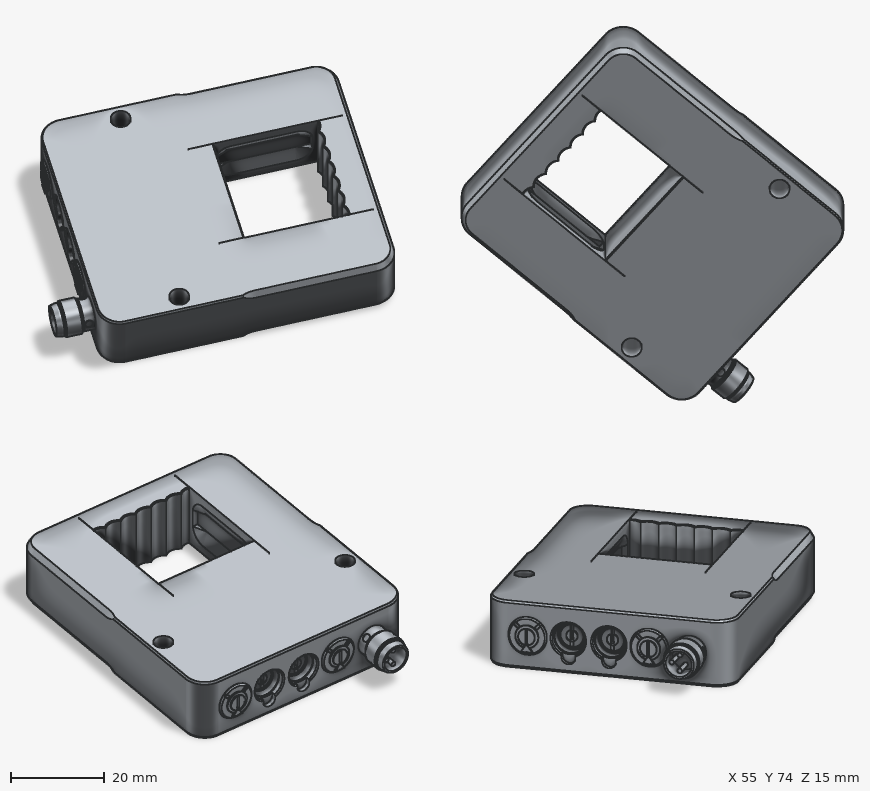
import cadquery as cq
import math

embed = 0.75

width = 55.0
height = 15.0
overall_length = 74.0
connector_length = 8.5
length = overall_length - connector_length
half_width = width / 2
half_height = height / 2
corner_radius = 4.95

slim_bevel_inset = 0.3
slim_bevel_drop = 0.5
wide_bevel_inset = 0.9
wide_bevel_drop = 1.5
wide_bevel_end_y = length - 31.7
bevel_runout_radius = 7.4

window_half_width = 12.65
window_front_y = length - 30.35
scallop_tip_y = length - 8.0
scallop_count = 7
scallop_pitch = 4.0
scallop_depth = 0.8
rim_bevel = 0.2

joint_front_y = length - 35.9
joint_rear_y = length - 1.9
joint_width = 0.1
joint_depth = 0.9

recess_front_y = length - 29.9
recess_rear_y = length - 8.4
recess_height = 10.5
recess_depth = 1.3
recess_slope = 3.0
recess_corner_radius = 3.55

mount_hole_diameter = 4.3
mount_hole_x = 24.05
mount_hole_y = length - 47.7

control_pitch = 9.0
switch_positions = (-2, 1)
button_positions = (-1, 0)
connector_x = 2 * control_pitch

switch_diameter = 8.6
switch_height = 0.45
switch_bevel = 0.4
switch_hub_diameter = 5.1
switch_hub_height = 0.75
switch_knob_diameter = 3.7
switch_knob_height = 1.0
switch_slot_width = 0.5
switch_slot_length = 3.3
switch_slot_depth = 0.75
pointer_height = 0.9
pointer_tip_z = -1.55
pointer_base_z = -3.4
pointer_half_width = 1.25
tick_width = 0.7
tick_depth = 0.2
tick_angles = (45, 135)

button_well_diameter = 7.3
button_well_depth = 3.7
button_step_diameter = 6.9
button_step_depth = 1.5
button_mouth_diameter = 8.0
button_mouth_depth = 0.3
button_cap_diameter = 6.4
button_cap_top_diameter = 5.8
button_cap_height = 1.1
button_cap_bevel_height = 0.5
button_dish_diameter = 5.1
button_dish_depth = 0.3
button_core_diameter = 2.5
button_slot_width = 0.75
button_slot_top_z = 2.5
button_slot_bottom_z = -0.75
button_mark_end_z = -2.4
tab_slot_width = 3.1
tab_slot_end_z = -5.55
tab_slot_depth = 1.1

neck_diameter = 7.2
neck_length = 2.45
nut_diameter = 8.0
nut_start = 2.8
nut_end = 6.6
nut_bevel = 0.2
groove_diameter = 6.6
ring_diameter = 7.3
ring_start = 6.9
ring_end = 7.4
tip_diameter = 6.7
socket_diameter = 5.8
socket_depth = 5.2
pin_diameter = 1.0
pin_length = 4.45
pin_circle_radius = 1.8
pin_angles = (90, 180, 270)
dimple_diameter = 1.8
dimple_depth = 0.2
dimple_offset = 1.4
dimple_angles = (15, 135, 255)


def box_between(x0, x1, y0, y1, z0, z1):
    size = (x1 - x0, y1 - y0, z1 - z0)
    return cq.Workplane("XY").box(*size, centered=False).translate((x0, y0, z0))


def front_disk(diameter, start, end, x=0.0, z=0.0):
    """Cylinder along Y whose ends lie `start` and `end` outward of the front face."""
    plane = cq.Workplane("XZ", origin=(x, -start, z))
    return plane.circle(diameter / 2).extrude(end - start)


def turned(profile):
    """Solid turned about the Y axis from (radius, distance outward of the front face) points."""
    points = [(radius, -outward) for radius, outward in profile]
    return cq.Workplane("XY").polyline(points).close().revolve(360, (0, 0), (0, 1))


def mirrored(solid, plane):
    return solid.union(solid.mirror(plane))


def bevelled_block(drop, inset):
    """Rounded block whose top and bottom edges lose `drop` in height and `inset` in plan."""
    block = box_between(-half_width, half_width, 0, length, -half_height, half_height)
    block = block.edges("|Z").fillet(corner_radius)
    return block.faces("|Z").chamfer(drop, inset)


def front_keeper():
    """Everything in front of the wide bevel, hollowed by the bevel's conical run-outs."""
    keeper = box_between(-half_width, half_width, 0, wide_bevel_end_y, -half_height, half_height)
    cone = cq.Solid.makeCone(
        bevel_runout_radius - wide_bevel_inset,
        bevel_runout_radius,
        wide_bevel_drop,
        pnt=cq.Vector(
            half_width - wide_bevel_inset + bevel_runout_radius,
            wide_bevel_end_y,
            half_height - wide_bevel_drop,
        ),
    )
    runouts = mirrored(mirrored(cq.Workplane(cone), "YZ"), "XY")
    return keeper.cut(runouts)


def housing():
    """Slim bevel everywhere, with the wide bevel cut in addition behind its run-outs."""
    slim = bevelled_block(slim_bevel_drop, slim_bevel_inset)
    wide = bevelled_block(wide_bevel_drop, wide_bevel_inset)
    return slim.intersect(wide.union(front_keeper()))


def window_outline(z):
    """Rectangle at height z whose rear edge is a row of scallops, the end ones cut short by the sides."""
    half_chord = scallop_pitch / 2
    crest_y = scallop_tip_y + scallop_depth
    row_end = scallop_count * half_chord
    outline = cq.Workplane("XY", origin=(0, 0, z)).moveTo(-row_end, scallop_tip_y)
    for index in range(scallop_count):
        crest_x = -row_end + (2 * index + 1) * half_chord
        outline = outline.threePointArc((crest_x, crest_y), (crest_x + half_chord, scallop_tip_y))
    return outline.lineTo(row_end, window_front_y).lineTo(-row_end, window_front_y).close()


def window():
    """Opening through the housing with bevelled front and rear rims."""
    opening = window_outline(-half_height).extrude(height)
    flare = window_outline(half_height - rim_bevel).extrude(rim_bevel, taper=-45)
    opening = opening.union(mirrored(flare, "XY"))
    between_sides = box_between(
        -window_half_width, window_half_width, 0, length, -half_height, half_height
    )
    return opening.intersect(between_sides)


def joints():
    """Slender wedges along the window sides, open at the top and bottom faces."""
    wedge = (
        cq.Workplane("XZ", origin=(0, joint_front_y, 0))
        .moveTo(window_half_width, half_height)
        .lineTo(window_half_width + joint_width, half_height)
        .lineTo(window_half_width, half_height - joint_depth)
        .close()
        .extrude(joint_front_y - joint_rear_y)
    )
    return mirrored(mirrored(wedge, "YZ"), "XY")


def side_recesses():
    """Sloped pockets in both side walls, with upright ends along the middle band."""
    recess_length = recess_rear_y - recess_front_y
    middle_y = (recess_rear_y + recess_front_y) / 2
    taper = math.degrees(math.atan2(recess_slope, recess_depth))
    mouth = cq.Workplane("YZ", origin=(window_half_width, middle_y, 0))
    corners = cq.Sketch().rect(recess_length, recess_height).vertices().fillet(recess_corner_radius)
    pocket = mouth.placeSketch(corners).extrude(recess_depth, taper=taper)
    band_height = recess_height - 2 * recess_slope
    band = mouth.rect(recess_length, band_height).extrude(recess_depth)
    return mirrored(pocket.union(band), "YZ")


def mounting_holes():
    plane = cq.Workplane("XY", origin=(0, mount_hole_y, -half_height))
    centres = [(-mount_hole_x, 0), (mount_hole_x, 0)]
    return plane.pushPoints(centres).circle(mount_hole_diameter / 2).extrude(height)


def rotary_switch(x):
    """Stepped disk with a slotted knob, a raised pointer below it and two engraved ticks."""
    disk = front_disk(switch_diameter, -embed, switch_height).faces("<Y").chamfer(switch_bevel)
    hub = front_disk(switch_hub_diameter, 0, switch_hub_height)
    knob = front_disk(switch_knob_diameter, 0, switch_knob_height)
    pointer_corners = [
        (0, pointer_tip_z),
        (pointer_half_width, pointer_base_z),
        (-pointer_half_width, pointer_base_z),
    ]
    pointer = cq.Workplane("XZ").polyline(pointer_corners).close().extrude(pointer_height)
    switch = disk.union(hub).union(pointer).union(knob)
    slot_floor = switch_knob_height - switch_slot_depth
    slot = (
        cq.Workplane("XZ", origin=(0, -slot_floor, 0))
        .rect(switch_slot_width, switch_slot_length)
        .extrude(switch_slot_depth)
    )
    switch = switch.cut(slot)
    tick_start = switch_hub_diameter / 2
    tick_end = switch_diameter / 2 - switch_bevel
    tick = (
        cq.Workplane("XZ", origin=(0, tick_depth - switch_height, 0))
        .center((tick_start + tick_end) / 2, 0)
        .rect(tick_end - tick_start, tick_width)
        .extrude(tick_depth)
    )
    for angle in tick_angles:
        switch = switch.cut(tick.rotate((0, 0, 0), (0, 1, 0), -angle))
    return switch.translate((x, 0, 0))


def button_well(x):
    """Stepped round hole with a shallow round-ended finger slot leading down from it."""
    well = turned(
        [
            (0, 0),
            (button_mouth_diameter / 2, 0),
            (button_well_diameter / 2, -button_mouth_depth),
            (button_well_diameter / 2, -button_step_depth),
            (button_step_diameter / 2, -button_step_depth),
            (button_step_diameter / 2, -button_well_depth),
            (0, -button_well_depth),
        ]
    )
    tab_radius = tab_slot_width / 2
    arc_centre_z = tab_slot_end_z + tab_radius
    tab = (
        cq.Workplane("XZ", origin=(0, tab_slot_depth, 0))
        .moveTo(-tab_radius, 0)
        .lineTo(-tab_radius, arc_centre_z)
        .threePointArc((0, tab_slot_end_z), (tab_radius, arc_centre_z))
        .lineTo(tab_radius, 0)
        .close()
        .extrude(tab_slot_depth)
    )
    return well.union(tab).translate((x, 0, 0))


def button_cap(x):
    """Cap on the floor of the well, with a dished top, a slotted core and a raised mark."""
    floor = -button_well_depth
    top = floor + button_cap_height
    dish = top - button_dish_depth
    cap = turned(
        [
            (0, floor - embed),
            (button_cap_diameter / 2, floor - embed),
            (button_cap_diameter / 2, top - button_cap_bevel_height),
            (button_cap_top_diameter / 2, top),
            (button_dish_diameter / 2, top),
            (button_dish_diameter / 2, dish),
            (button_core_diameter / 2, dish),
            (button_core_diameter / 2, top),
            (0, top),
        ]
    )
    slot = box_between(
        -button_slot_width / 2,
        button_slot_width / 2,
        -top,
        -floor,
        button_slot_bottom_z,
        button_slot_top_z,
    )
    mark = box_between(
        -button_slot_width / 2,
        button_slot_width / 2,
        -top,
        -floor,
        button_mark_end_z,
        -button_core_diameter / 2,
    )
    return cap.cut(slot).union(mark).translate((x, 0, 0))


def connector():
    """Turned plug with a plain round nut, a pin socket and dimples around its neck."""
    neck_radius = neck_diameter / 2
    nut_radius = nut_diameter / 2
    groove_radius = groove_diameter / 2
    ring_radius = ring_diameter / 2
    socket_radius = socket_diameter / 2
    socket_floor = connector_length - socket_depth
    shell = turned(
        [
            (0, -embed),
            (neck_radius, -embed),
            (neck_radius, neck_length),
            (groove_radius, neck_length),
            (groove_radius, nut_start),
            (nut_radius - nut_bevel, nut_start),
            (nut_radius, nut_start + nut_bevel),
            (nut_radius, nut_end - nut_bevel),
            (nut_radius - nut_bevel, nut_end),
            (groove_radius, nut_end),
            (groove_radius, ring_start),
            (ring_radius, ring_start),
            (ring_radius, ring_end),
            (tip_diameter / 2, connector_length),
            (socket_radius, connector_length),
            (socket_radius, socket_floor),
            (0, socket_floor),
        ]
    )
    for angle in pin_angles:
        pin_x = pin_circle_radius * math.cos(math.radians(angle))
        pin_z = pin_circle_radius * math.sin(math.radians(angle))
        pin = front_disk(pin_diameter, socket_floor - embed, socket_floor + pin_length, pin_x, pin_z)
        shell = shell.union(pin)
    dimple = (
        cq.Workplane("YZ", origin=(neck_radius - dimple_depth, -dimple_offset, 0))
        .circle(dimple_diameter / 2)
        .extrude(neck_radius)
    )
    for angle in dimple_angles:
        shell = shell.cut(dimple.rotate((0, 0, 0), (0, 1, 0), -angle))
    return shell.translate((connector_x, 0, 0))


body = housing().cut(window()).cut(joints()).cut(side_recesses()).cut(mounting_holes())
for position in button_positions:
    body = body.cut(button_well(position * control_pitch))
    body = body.union(button_cap(position * control_pitch))
for position in switch_positions:
    body = body.union(rotary_switch(position * control_pitch))
result = body.union(connector())